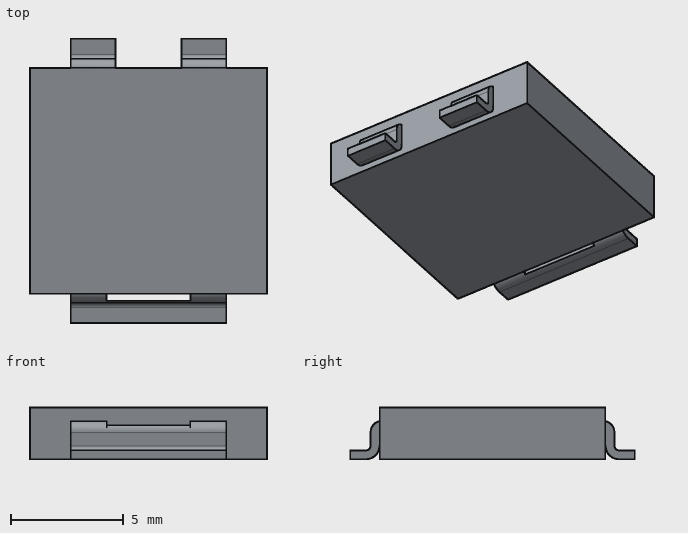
import cadquery as cq
import math

BODY_WIDTH = 10.5
BODY_DEPTH = 10.0
BODY_HEIGHT = 2.3

OVERALL_DEPTH = 12.6
LEAD_REACH = (OVERALL_DEPTH - BODY_DEPTH) / 2
LEAD_THICKNESS = 0.4
INNER_BEND_RADIUS = 0.2
OUTER_BEND_RADIUS = INNER_BEND_RADIUS + LEAD_THICKNESS
SHOULDER_START_Z = 1.2
SHOULDER_RADIUS = 0.5

LEAD_SPAN = 6.9
REAR_LEAD_WIDTH = 2.0

SLOT_WIDTH = 3.7
SLOT_DEPTH = 0.3


def make_body():
    return cq.Workplane("XY").box(BODY_WIDTH, BODY_DEPTH, BODY_HEIGHT, centered=(True, True, False))


def make_lead(width):
    """Lead on the +Y face, centred on X."""
    wall = BODY_DEPTH / 2
    riser = wall + LEAD_THICKNESS
    tip = wall + LEAD_REACH
    diagonal = math.sqrt(0.5)

    shoulder_center_y = riser - SHOULDER_RADIUS
    shoulder_end_angle = math.acos((wall - shoulder_center_y) / SHOULDER_RADIUS)

    def shoulder_point(angle):
        return (
            shoulder_center_y + SHOULDER_RADIUS * math.cos(angle),
            SHOULDER_START_Z + SHOULDER_RADIUS * math.sin(angle),
        )

    bend_y = wall + OUTER_BEND_RADIUS
    bend_z = OUTER_BEND_RADIUS

    def bend_middle(radius):
        return (bend_y - radius * diagonal, bend_z - radius * diagonal)

    return (
        cq.Workplane("YZ")
        .moveTo(tip, 0)
        .lineTo(tip, LEAD_THICKNESS)
        .lineTo(bend_y, LEAD_THICKNESS)
        .threePointArc(bend_middle(INNER_BEND_RADIUS), (riser, bend_z))
        .lineTo(riser, SHOULDER_START_Z)
        .threePointArc(shoulder_point(shoulder_end_angle / 2), shoulder_point(shoulder_end_angle))
        .lineTo(wall, bend_z)
        .threePointArc(bend_middle(OUTER_BEND_RADIUS), (bend_y, 0))
        .close()
        .extrude(width / 2, both=True)
    )


def make_front_lead():
    """Full-width lead on the -Y face, slotted through its height next to the body."""
    slot = (
        cq.Workplane("XY")
        .box(SLOT_WIDTH, SLOT_DEPTH, BODY_HEIGHT, centered=(True, False, False))
        .translate((0, -BODY_DEPTH / 2 - SLOT_DEPTH, 0))
    )
    return make_lead(LEAD_SPAN).mirror("XZ").cut(slot)


result = make_body().union(make_front_lead())

rear_lead_offset = (LEAD_SPAN - REAR_LEAD_WIDTH) / 2
for x in (-rear_lead_offset, rear_lead_offset):
    result = result.union(make_lead(REAR_LEAD_WIDTH).translate((x, 0, 0)))